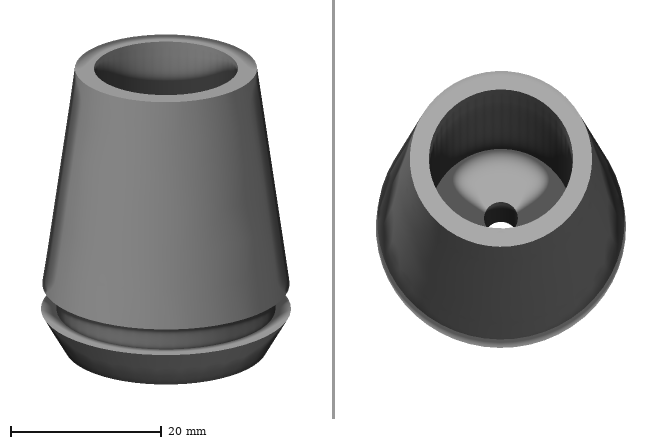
import cadquery as cq
import math

total_height = 40.0
lip_diameter = 33.35

lip_height = 5.5
lip_half_angle = 30.0

groove_diameter = 29.2
groove_width = 3.6

top_diameter = 24.3
taper_half_angle = 8.0

bore_diameter = 19.2
bore_depth = 30.0
through_hole_diameter = 4.5


def cone_spread(height, half_angle):
    """Change in radius over a height of a cone with the given half angle."""
    return height * math.tan(math.radians(half_angle))


def make_body():
    """Solid body revolved about Z: lower cone, groove and main taper."""
    lip_radius = lip_diameter / 2
    groove_radius = groove_diameter / 2
    top_radius = top_diameter / 2
    taper_start = lip_height + groove_width
    bottom_radius = lip_radius - cone_spread(lip_height, lip_half_angle)
    taper_radius = top_radius + cone_spread(total_height - taper_start, taper_half_angle)
    half_profile = [
        (0, 0),
        (bottom_radius, 0),
        (lip_radius, lip_height),
        (groove_radius, lip_height),
        (groove_radius, taper_start),
        (taper_radius, taper_start),
        (top_radius, total_height),
        (0, total_height),
    ]
    return cq.Workplane("XZ").polyline(half_profile).close().revolve(360, (0, 0), (0, 1))


def cut_stepped_bore(body):
    """Cut the wide bore from the top and the small hole through its floor."""
    return body.faces(">Z").workplane().cboreHole(through_hole_diameter, bore_diameter, bore_depth)


result = cut_stepped_bore(make_body())